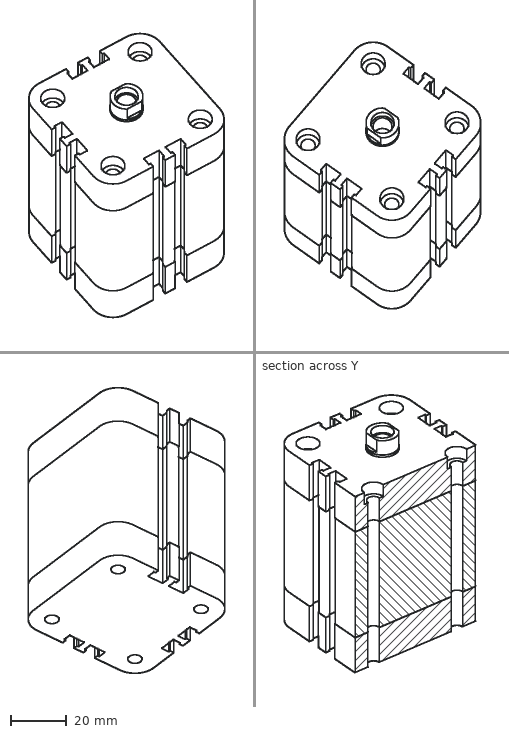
import cadquery as cq
import math

side = 55.0
cap_height = 15.0
barrel_height = 45.0
body_height = 2 * cap_height + barrel_height
corner_radius = 8.5

hole_offset = side / 2 - corner_radius
hole_diameter = 5.1
counterbore_diameter = 8.5
counterbore_depth = 5.0

slotted_side_angles = (-90, 0, 90)
cap_slot = dict(rib_head=2.1, rib_web=1.4, mouth=7.3, pocket=8.0, lip=1.7, depth=5.0)
barrel_slot = dict(rib_head=2.1, rib_web=1.3, mouth=7.3, pocket=8.1, lip=1.7, depth=5.1)
barrel_mouth_radius = 0.3

overall_height = 82
head_diameter = 11.8
shaft_diameter = 12.0
shaft_top = body_height + 0.9
flats_width = 10.0
flats_height = 5.0
runout_angle = 30
rod_bore_diameter = 8.3
rod_bore_depth = 3.0
thread_hole_diameter = 6.8
thread_hole_depth = 12.0


def round_bar(diameter, bottom, top):
    """Cylinder on the Z axis between two heights."""
    return cq.Workplane("XY").workplane(offset=bottom).circle(diameter / 2).extrude(top - bottom)


def corner_bars(diameter, bottom, top):
    """One cylinder at each of the four mounting hole places."""
    spacing = 2 * hole_offset
    base = cq.Workplane("XY").workplane(offset=bottom)
    places = base.rect(spacing, spacing, forConstruction=True).vertices()
    return places.circle(diameter / 2).extrude(top - bottom)


def slot_pair(slot, height):
    """Two mirrored T-slots standing on the -Y side over the full height."""
    face = -side / 2
    lip_back = face + slot["lip"]
    floor = face + slot["depth"]
    outline = [
        (slot["rib_head"], face),
        (slot["mouth"], face),
        (slot["mouth"], lip_back),
        (slot["pocket"], lip_back),
        (slot["pocket"], floor),
        (slot["rib_web"], floor),
        (slot["rib_web"], lip_back),
        (slot["rib_head"], lip_back),
    ]
    one_slot = cq.Workplane("XY").polyline(outline).close().extrude(height)
    return one_slot.union(one_slot.mirror("YZ"))


def flared_mouths(slot, radius, height):
    """Cutter that rounds the outer mouth edges of both slots on the -Y side."""
    face = -side / 2
    one_mouth = (
        cq.Workplane("XY")
        .moveTo(slot["rib_head"] - radius, face)
        .lineTo(slot["mouth"] + radius, face)
        .radiusArc((slot["mouth"], face + radius), radius)
        .lineTo(slot["rib_head"], face + radius)
        .radiusArc((slot["rib_head"] - radius, face), radius)
        .close()
        .extrude(height)
    )
    return one_mouth.union(one_mouth.mirror("YZ"))


def cut_slotted_sides(block, cutter):
    """Cut a shape made for the -Y side into every slotted side."""
    for angle in slotted_side_angles:
        block = block.cut(cutter.rotate((0, 0, 0), (0, 0, 1), angle))
    return block


def section_block(slot, height):
    """Rounded square block with the slot pairs and the four through holes."""
    block = cq.Workplane("XY").rect(side, side).extrude(height).edges("|Z").fillet(corner_radius)
    block = cut_slotted_sides(block, slot_pair(slot, height))
    return block.cut(corner_bars(hole_diameter, 0, height))


def make_rear_cap():
    return section_block(cap_slot, cap_height)


def make_barrel():
    barrel = section_block(barrel_slot, barrel_height)
    mouths = flared_mouths(barrel_slot, barrel_mouth_radius, barrel_height)
    return cut_slotted_sides(barrel, mouths).translate((0, 0, cap_height))


def make_front_cap():
    counterbores = corner_bars(counterbore_diameter, cap_height - counterbore_depth, cap_height)
    rod_hole = round_bar(shaft_diameter, 0, cap_height)
    cap = section_block(cap_slot, cap_height).cut(counterbores).cut(rod_hole)
    return cap.translate((0, 0, cap_height + barrel_height))


def make_rod():
    rod_bottom = cap_height + barrel_height
    shaft = round_bar(shaft_diameter, rod_bottom, shaft_top)
    head = round_bar(head_diameter, shaft_top, overall_height)
    rod = shaft.union(head)

    inner = flats_width / 2
    outer = head_diameter / 2
    flats_bottom = overall_height - flats_height
    runout_drop = (outer - inner) * math.tan(math.radians(runout_angle))
    outline = [
        (inner, overall_height),
        (outer, overall_height),
        (outer, flats_bottom - runout_drop),
        (inner, flats_bottom),
    ]
    flat = cq.Workplane("XZ").polyline(outline).close().extrude(outer, both=True)
    rod = rod.cut(flat).cut(flat.mirror("YZ"))

    rod_bore = round_bar(rod_bore_diameter, overall_height - rod_bore_depth, overall_height)
    thread_hole = round_bar(thread_hole_diameter, overall_height - thread_hole_depth, overall_height)
    return rod.cut(rod_bore).cut(thread_hole)


rear_cap = make_rear_cap()
barrel = make_barrel()
front_cap = make_front_cap()
rod = make_rod()

result = cq.Compound.makeCompound([rear_cap.val(), barrel.val(), front_cap.val(), rod.val()])